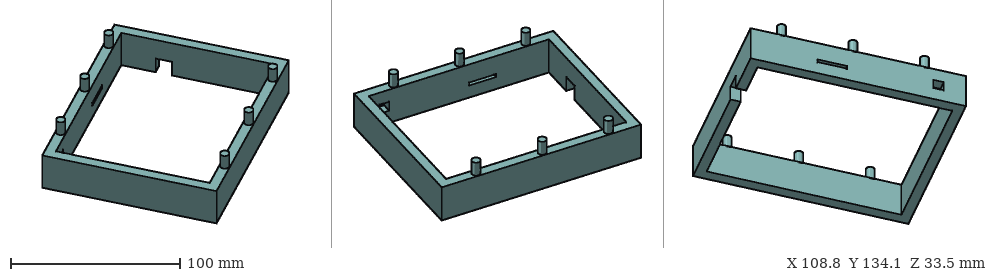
import cadquery as cq

length = 134.1
width = 108.8
total_height = 33.5
wall = 6.5
pin_height = 9.4
frame_height = total_height - pin_height

pin_diameter = 5.5
pin_pitch = 44.5
pin_row_offset = 2.3
pin_x = (width - wall) / 2

opening_bottom = 8.9
slot_length = 18.4
slot_height = 2.1
slot_y = 16.1
window_size = 6.5
window_y = -50.0

notch_size = 10.2
notch_x = -21.5


def make_frame():
    outer = cq.Workplane("XY").rect(width, length)
    return outer.rect(width - 2 * wall, length - 2 * wall).extrude(frame_height)


def make_pins():
    points = [
        (side * pin_x, pin_row_offset + step * pin_pitch)
        for side in (-1, 1)
        for step in (-1, 0, 1)
    ]
    pins = cq.Workplane("XY").workplane(offset=frame_height - wall)
    return pins.pushPoints(points).circle(pin_diameter / 2).extrude(pin_height + wall)


def make_side_opening(center_y, size_y, size_z):
    """Cutter through the -X wall, with its lower face at opening_bottom."""
    cutter = cq.Workplane("XY").box(2 * wall, size_y, size_z, centered=(True, True, False))
    return cutter.translate((-width / 2, center_y, opening_bottom))


def make_notch():
    """Cutter through the +Y wall, open at the bottom."""
    cutter = cq.Workplane("XY").box(notch_size, 2 * wall, notch_size, centered=(True, True, False))
    return cutter.translate((notch_x, length / 2, 0))


result = make_frame().union(make_pins())
result = result.cut(make_side_opening(slot_y, slot_length, slot_height))
result = result.cut(make_side_opening(window_y, window_size, window_size))
result = result.cut(make_notch())